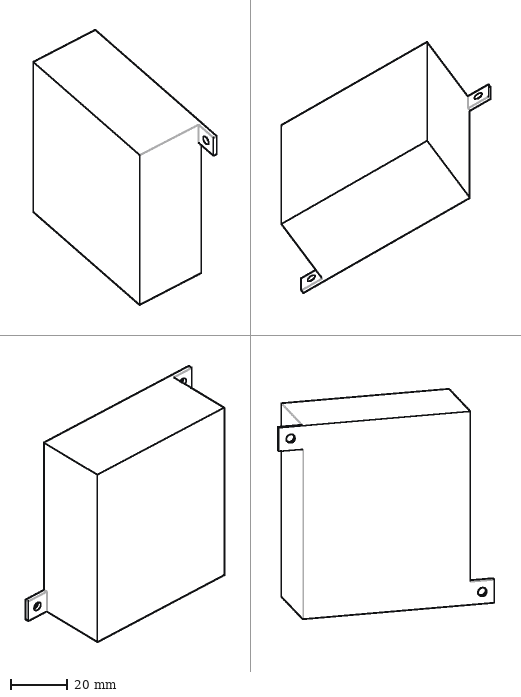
import cadquery as cq

overall_width = 80.01
depth = 27.94
height = 72.39

tab_size = 8.89
tab_thickness = 1.524
hole_diameter = 3.2

edge_radius = 0.254

body_width = overall_width - 2 * tab_size
body_x = body_width / 2
tab_end_x = overall_width / 2
tab_front_y = depth - tab_thickness
flush_z = height / 2
free_z = flush_z - tab_size

margin = 0.01

tab_sides = (-1, 1)


def tab_center(side):
    """X and Z of the middle of a tab."""
    return side * (body_x + tab_end_x) / 2, side * (flush_z + free_z) / 2


def make_body():
    return cq.Workplane("XY").box(body_width, depth, height, centered=(True, False, True))


def make_tab(side):
    x, z = tab_center(side)
    plate = cq.Workplane("XY").box(tab_size, tab_thickness, tab_size, centered=(True, False, True))
    return plate.translate((x, tab_front_y, z))


def edges_between(part, side, low, high):
    """Edges whose centres lie between two points, given for the top tab and turned for the bottom one."""
    corner_a = (side * (low[0] - margin), low[1] - margin, side * (low[2] - margin))
    corner_b = (side * (high[0] + margin), high[1] + margin, side * (high[2] + margin))
    return part.edges(cq.selectors.BoxSelector(corner_a, corner_b)).vals()


def round_flush_edges(part):
    """Round the front and end edges of each tab's flush side; its back edge stays sharp."""
    edges = []
    for side in tab_sides:
        low = (body_x + tab_size / 2, tab_front_y, flush_z)
        high = (tab_end_x, depth - tab_thickness / 2, flush_z)
        edges += edges_between(part, side, low, high)
    return part.newObject(edges).fillet(edge_radius)


def round_free_edges(part):
    """Round each tab's inner side, fillet its root, and round the body's back edge beside it."""
    edges = []
    for side in tab_sides:
        edges += edges_between(part, side, (body_x, tab_front_y, free_z), (tab_end_x, depth, free_z))
        edges += edges_between(part, side, (body_x, tab_front_y, free_z), (body_x, tab_front_y, flush_z))
        edges += edges_between(part, side, (body_x, depth, -flush_z), (body_x, depth, free_z))
    return part.newObject(edges).fillet(edge_radius)


def drill_tab(part, side):
    x, z = tab_center(side)
    drill = (
        cq.Workplane("XZ", origin=(x, depth, z))
        .circle(hole_diameter / 2)
        .extrude(tab_thickness)
    )
    return part.cut(drill)


result = make_body()
for tab_side in tab_sides:
    result = result.union(make_tab(tab_side))
result = round_free_edges(result)
result = round_flush_edges(result)
for tab_side in tab_sides:
    result = drill_tab(result, tab_side)